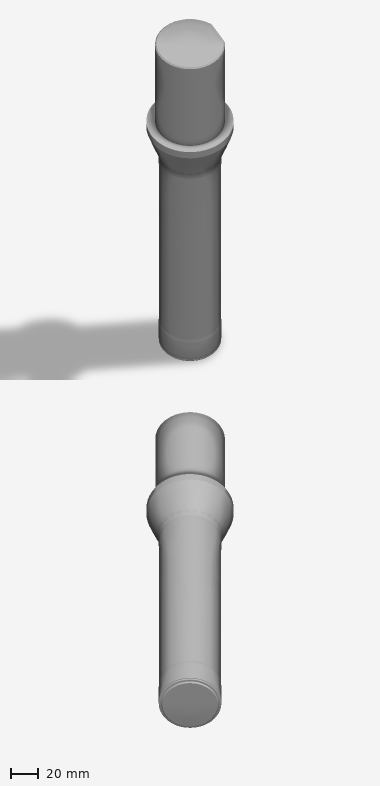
import cadquery as cq
import math

total_length = 305.98

shank_diameter = 50.0
shank_length = 80.0
shank_chamfer = 1.0
flat_distance = 22.6
flat_end_gap = 3.7
flat_end_angle = 45.0

flange_diameter = 62.5
flange_thickness = 6.4
cone_angle = 17.5
cone_blend_length = 2.8

body_diameter = 44.85
tube_diameter = 44.39
neck_land_length = 5.5
taper_base = 113.9
taper_length = 70.0
collar_top = 20.35
step_length = 2.76

tip_rim_radius = 0.8
tip_point_height = 1.1
tip_point_base_diameter = 41.0
tip_point_diameter = 39.5

shank_base = total_length - shank_length
flange_base = shank_base - flange_thickness
tip_rim_base = tip_point_height
tip_top = tip_rim_base + 2 * tip_rim_radius
step_top = collar_top + step_length
taper_top = taper_base + taper_length
neck_top = taper_top + neck_land_length
blend_top = neck_top + cone_blend_length

shank_radius = shank_diameter / 2
flange_radius = flange_diameter / 2
body_radius = body_diameter / 2
tube_radius = tube_diameter / 2


def make_holder():
    """Shank, flange and drill body, turned as one piece and then milled flat at the shank."""
    slope = math.radians(cone_angle)
    blend_radius = flange_radius - (flange_base - blend_top) * math.tan(slope)
    cone_points = [
        (blend_radius, blend_top),
        ((blend_radius + flange_radius) / 2, (blend_top + flange_base) / 2),
        (flange_radius, flange_base),
    ]
    cone_direction = (math.sin(slope), math.cos(slope))
    axis_direction = (0, 1)
    profile = (
        cq.Workplane("XZ")
        .moveTo(0, tip_top)
        .lineTo(body_radius, tip_top)
        .lineTo(body_radius, collar_top)
        .lineTo(tube_radius, step_top)
        .lineTo(tube_radius, taper_base)
        .lineTo(body_radius, taper_top)
        .lineTo(body_radius, neck_top)
        .spline(cone_points, tangents=[axis_direction, cone_direction], includeCurrent=True)
        .lineTo(flange_radius, shank_base)
        .lineTo(shank_radius, shank_base)
        .lineTo(shank_radius, total_length - shank_chamfer)
        .lineTo(shank_radius - shank_chamfer, total_length)
        .lineTo(0, total_length)
        .close()
    )
    return profile.revolve(360, (0, 0), (0, 1)).cut(make_flat_cutter())


def make_flat_cutter():
    """Prism that mills the +Y flat from the shank end down to its sloped end."""
    slope_start = shank_base + flat_end_gap
    depth = shank_radius - flat_distance
    slope_top = slope_start + depth / math.tan(math.radians(flat_end_angle))
    return (
        cq.Workplane("YZ")
        .moveTo(shank_radius, slope_start)
        .lineTo(flat_distance, slope_top)
        .lineTo(flat_distance, total_length)
        .lineTo(shank_radius, total_length)
        .close()
        .extrude(shank_radius, both=True)
    )


def make_tip():
    """Disc under the collar, flush with it at the crest of its round rim."""
    rim_center_radius = body_radius - tip_rim_radius
    profile = (
        cq.Workplane("XZ")
        .moveTo(0, 0)
        .lineTo(tip_point_diameter / 2, 0)
        .lineTo(tip_point_base_diameter / 2, tip_rim_base)
        .lineTo(rim_center_radius, tip_rim_base)
        .threePointArc((body_radius, tip_rim_base + tip_rim_radius), (rim_center_radius, tip_top))
        .lineTo(0, tip_top)
        .close()
    )
    return profile.revolve(360, (0, 0), (0, 1))


holder = make_holder()
tip = make_tip()
result = cq.Compound.makeCompound([holder.val(), tip.val()])